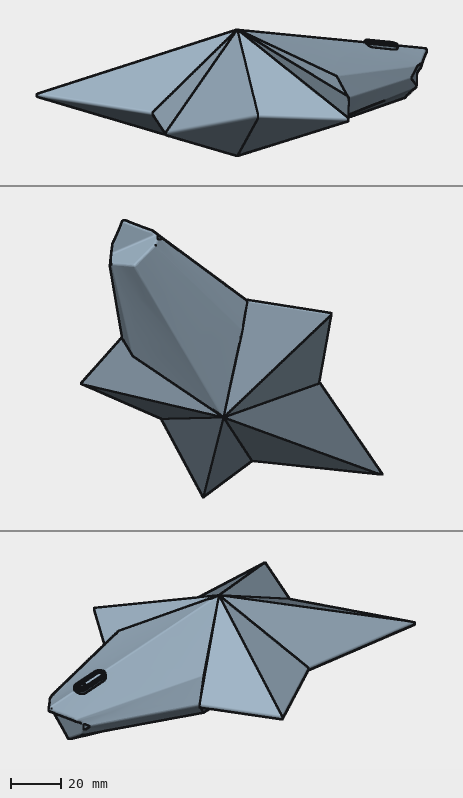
import cadquery as cq

PEAK_HEIGHT = 26.41
RIM_HALF_HEIGHT = 1.0
RIM_BULGE = 0.5
LEFT_SHOULDER = (-26.3, 28.8)
RIGHT_SHOULDER = (26.0, 36.0)
ARM_OUTLINE = [
    LEFT_SHOULDER,
    (-52.2, 7.4),
    (-31.7, -20.4),
    (-31.7, -72.1),
    (9.9, -41.8),
    (35.4, -48.6),
    (31.3, -6.3),
    (50.6, 23.8),
    RIGHT_SHOULDER,
]

RIM_SHARE = 1.01
LEFT_CREASE_SHARE = 0.8
RIGHT_CREASE_SHARE = 0.9
SHOULDER_CREASE_HEIGHT = 9.1
NOSE_Y = 87.0
NOSE_RIDGE_TOP = 6.3
NOSE_RIDGE_BOTTOM = -10.3
NOSE_CREASE_X = 6.5
NOSE_CREASE_TOP = 2.0
NOSE_CREASE_BOTTOM = -3.9
NOSE_RIM_X = 7.0
FRONT_Y = 74.5
BROW_SLOPE = 0.46
HEAD_EDGE_RADIUS = 1.1
ROUNDED_FROM_Y = 35.9
CHEEK_X = 10.5
CHEEK_Y = 74.3
CHEEK_HALF_WIDTH = 2.8
CHEEK_HALF_LENGTH = 3.9

SWITCH_Y = 63.8
SWITCH_LENGTH = 14.5
SWITCH_WIDTH = 5.5
SWITCH_WALL = 1.1
SWITCH_RAISE = 0.5
SWITCH_SINK = 2.8
TRAY_DEPTH = 1.0
TRAY_CHAMFER = 0.5
KNOB_DIAMETER = 2.8
KNOB_OFFSET = 3.8
KNOB_CHAMFER = 0.5


def closed_wire(corners):
    return cq.Wire.makePolygon([cq.Vector(*corner) for corner in corners], close=True)


def make_pyramid(side):
    """Half of the star: facets from the rim up (side 1) or down (side -1) to the peak."""
    base_z = side * RIM_HALF_HEIGHT
    base = [(0, 0, base_z)] + [(x, y, base_z) for x, y in ARM_OUTLINE]
    peak = (0, 0, side * PEAK_HEIGHT)
    faces = [cq.Face.makeFromWires(closed_wire(base))]
    for start, end in zip(base, base[1:] + base[:1]):
        faces.append(cq.Face.makeFromWires(closed_wire([start, end, peak])))
    return cq.Workplane(cq.Solid.makeSolid(cq.Shell.makeShell(faces)))


def make_rim():
    """Bulging strip along the arm outline, from the left shoulder to the right one."""
    start = cq.Vector(*ARM_OUTLINE[0])
    direction = cq.Vector(*ARM_OUTLINE[1]) - start
    return (
        cq.Workplane(cq.Plane(start, xDir=(0, 0, 1), normal=direction))
        .moveTo(-RIM_HALF_HEIGHT, 0)
        .threePointArc((0, RIM_BULGE), (RIM_HALF_HEIGHT, 0))
        .close()
        .sweep(cq.Workplane().polyline(ARM_OUTLINE), transition="right")
    )


def make_star():
    core = (
        cq.Workplane()
        .workplane(offset=-RIM_HALF_HEIGHT)
        .polyline([(0, 0)] + ARM_OUTLINE)
        .close()
        .extrude(2 * RIM_HALF_HEIGHT)
    )
    return make_pyramid(1).union(make_pyramid(-1)).union(core).union(make_rim()).clean()


def make_head_half(side, shoulder, crease_share):
    """One side of the head, lofted from the star axis and shoulder to the nose section."""
    rim = (RIM_SHARE * shoulder[0], RIM_SHARE * shoulder[1], 0)
    crease = (crease_share * shoulder[0], crease_share * shoulder[1])
    back = [
        (0, 0, PEAK_HEIGHT),
        crease + (SHOULDER_CREASE_HEIGHT,),
        rim,
        crease + (-SHOULDER_CREASE_HEIGHT,),
        (0, 0, -PEAK_HEIGHT),
    ]
    nose = [
        (0, NOSE_Y, NOSE_RIDGE_TOP),
        (side * NOSE_CREASE_X, NOSE_Y, NOSE_CREASE_TOP),
        (side * NOSE_RIM_X, NOSE_Y, 0),
        (side * NOSE_CREASE_X, NOSE_Y, NOSE_CREASE_BOTTOM),
        (0, NOSE_Y, NOSE_RIDGE_BOTTOM),
    ]
    return cq.Workplane(cq.Solid.makeLoft([closed_wire(back), closed_wire(nose)], True))


def make_front_cutter():
    """Space ahead of the vertical front and below the brow."""
    reach = 2 * (NOSE_Y - FRONT_Y)
    return (
        cq.Workplane("YZ")
        .moveTo(FRONT_Y, -PEAK_HEIGHT)
        .lineTo(FRONT_Y, RIM_HALF_HEIGHT)
        .line(reach, BROW_SLOPE * reach)
        .lineTo(FRONT_Y + reach, -PEAK_HEIGHT)
        .close()
        .extrude(PEAK_HEIGHT, both=True)
    )


def make_cheek_cutter(side):
    """Upright wedge that slants one front corner of the head."""
    outer_x = side * (CHEEK_X + CHEEK_HALF_WIDTH)
    inner_x = side * (CHEEK_X - CHEEK_HALF_WIDTH)
    return (
        cq.Workplane()
        .workplane(offset=-PEAK_HEIGHT)
        .moveTo(outer_x, CHEEK_Y - CHEEK_HALF_LENGTH)
        .lineTo(inner_x, CHEEK_Y + CHEEK_HALF_LENGTH)
        .lineTo(outer_x, CHEEK_Y + CHEEK_HALF_LENGTH)
        .close()
        .extrude(2 * PEAK_HEIGHT)
    )


def make_head_blank():
    left_half = make_head_half(-1, LEFT_SHOULDER, LEFT_CREASE_SHARE)
    right_half = make_head_half(1, RIGHT_SHOULDER, RIGHT_CREASE_SHARE)
    head = left_half.union(right_half).clean().cut(make_front_cutter())
    beyond = 2 * NOSE_Y
    rounded_zone = cq.selectors.BoxSelector((-beyond, ROUNDED_FROM_Y, -beyond), (beyond, beyond, beyond))
    head = head.edges(rounded_zone).fillet(HEAD_EDGE_RADIUS)
    for side in (1, -1):
        head = head.cut(make_cheek_cutter(side))
    return head


ridge_slope = (NOSE_RIDGE_TOP - PEAK_HEIGHT) / NOSE_Y
switch_top = cq.Plane(
    origin=(0, SWITCH_Y, PEAK_HEIGHT + ridge_slope * SWITCH_Y + SWITCH_RAISE),
    xDir=(0, 1, ridge_slope),
    normal=(0, -ridge_slope, 1),
)
uppermost = cq.selectors.DirectionMinMaxSelector(switch_top.zDir)


def make_switch_blank():
    height = SWITCH_RAISE + SWITCH_SINK
    return cq.Workplane(switch_top).slot2D(SWITCH_LENGTH, SWITCH_WIDTH).extrude(-height)


def make_tray():
    opening = (
        cq.Workplane(switch_top)
        .slot2D(SWITCH_LENGTH - 2 * SWITCH_WALL, SWITCH_WIDTH - 2 * SWITCH_WALL)
        .extrude(-TRAY_DEPTH)
    )
    return make_switch_blank().faces(uppermost).chamfer(TRAY_CHAMFER).cut(opening)


def make_knob():
    floor = cq.Workplane(switch_top).workplane(offset=-TRAY_DEPTH)
    knob = floor.center(KNOB_OFFSET, 0).circle(KNOB_DIAMETER / 2).extrude(TRAY_DEPTH)
    return knob.faces(uppermost).chamfer(KNOB_CHAMFER)


head_blank = make_head_blank()
star = make_star().cut(head_blank)
head = head_blank.cut(make_switch_blank())
tray = make_tray()
knob = make_knob()

bodies = [star, head, tray, knob]
result = cq.Compound.makeCompound([body.solids().val() for body in bodies])